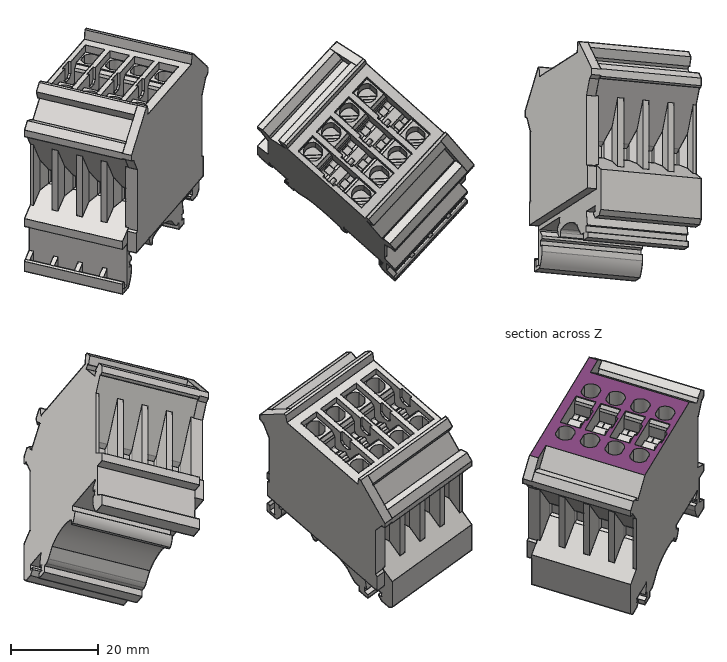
import cadquery as cq
import math


module_count = 4
body_length = 24.55
total_length = 26.8
pitch = body_length / module_count

half_depth = 21.25
waist_half_depth = 18.0
total_height = 45.9
deck_z = 43.55
deck_half_depth = 12.0
ridge_inner_y = 12.35
ridge_outer_y = 13.1
shoulder_z = 37.75
waist_top_z = 32.18
waist_bottom_z = 15.97
sill_z = 14.1
brow_y = 20.15
brow_z = 35.8
head_edge_z = 35.95
brow_lip_y = 20.6
brow_lip_z = 35.55
rail_ceiling_z = 9.0
spring_y = 18.7
spring_step_z = 12.0
foot_top_z = 4.2
foot_edge_z = 2.65
foot_crest_y = 20.8
foot_crest_z = 3.0

cover_bottom_z = 10.1
cover_brow_z = 36.15
cover_waist_top_z = 32.05
cover_waist_bottom_z = 15.7
cover_inset = 0.1

groove_mouth = 7.0
groove_throat = 5.25
groove_throat_depth = 2.0
groove_base = 6.43
groove_depth = 3.15

entry_start = 0.8
entry_width = 4.65
entry_top_z = 22.95
entry_taper = 1.3
entry_taper_run = 1.95
clamp_hole_depth = 0.9
clamp_hole_side_draft = 0.2
clamp_hole_bottom_draft = 0.15
clamp_hole_top_draft = 0.85

pocket_start = 1.3
pocket_width = 4.8
pocket_half_depth = 9.78
shelf_z = 41.7
shelf_step = 0.28
shelf_end_y = 4.55
chamfer_end_y = 3.85
chamfer_end_z = shelf_z - shelf_step - (shelf_end_y - chamfer_end_y)
shelf_wall_y = 3.6
shelf_wall_z = 40.02
valley_z = 36.7
valley_rise = 0.1
valley_outer_y = 3.25
valley_inner_y = 1.95
bridge_half_depth = 1.2
bridge_z = valley_z + valley_inner_y - bridge_half_depth
tab_offset = 1.5
tab_width = 1.85
tab_height = 0.35
bridge_gap = 0.2
bridge_gap_depth = 0.9
pin_radius = 0.5
pin_length = 1.7

notch_width = 0.55
notch_half_depth = 1.65
notch_floor_half_depth = 0.83
notch_knee_z = 40.4
notch_floor_z = notch_knee_z - (notch_half_depth - notch_floor_half_depth)

screw_y = 7.45
screw_radius = 2.2
screw_flat_width = 3.95
screw_head_z = 35.8
screw_x = pocket_start + pocket_width / 2
screw_slot_width = 0.75
screw_slot_depth = 0.45
screw_slot_angle = -45

rib_width = 1.15
trough_floor_z = 0.9
trough_outer_y = 20.3


def mirrored(points):
    """Reflect outline points across Y = 0, reversing their order."""
    return [(-y, z) for y, z in reversed(points)]


def prism(outline, x_start, length):
    """Extrude a closed YZ outline along +X."""
    return cq.Workplane("YZ", origin=(x_start, 0, 0)).polyline(outline).close().extrude(length)


def block(x_range, y_range, z_range):
    """Axis-aligned box given by its limits."""
    size = [limits[1] - limits[0] for limits in (x_range, y_range, z_range)]
    corner = (x_range[0], y_range[0], z_range[0])
    return cq.Workplane("XY", origin=corner).box(*size, centered=False)


head = [
    (deck_half_depth, deck_z),
    (ridge_inner_y, total_height),
    (ridge_outer_y, total_height),
    (half_depth, shoulder_z),
    (half_depth, head_edge_z),
    (brow_lip_y, brow_lip_z),
    (brow_y, brow_z),
    (waist_half_depth, waist_top_z),
]
waist_to_sill = [
    (waist_half_depth, waist_bottom_z),
    (half_depth, sill_z),
]


def make_body():
    """Extruded housing with the fixed hook at +Y and the spring foot at -Y."""
    profile = cq.Workplane("YZ").moveTo(*head[0])
    for point in head[1:] + waist_to_sill:
        profile = profile.lineTo(*point)

    hook = [
        (half_depth, 4.6), (20.15, 3.5), (17.63, 3.5), (16.6, 4.55), (16.6, 5.05),
        (17.63, 5.05), (17.63, 6.35), (11.95, 6.35), (12.65, 3.0), (11.8, 3.0),
        (11.8, 1.5), (12.95, 1.3), (12.95, 0), (10.05, 0), (10.05, 1.7), (8.95, 1.7),
    ]
    for point in hook:
        profile = profile.lineTo(*point)
    profile = (
        profile.threePointArc((8.4, 1.95), (7.9, 2.35))
        .lineTo(5.88, 4.55)
        .threePointArc((1.5, 6.2), (-3.9, 5.9))
        .threePointArc((-4.35, 5.7), (-4.55, 5.25))
        .lineTo(-4.7, 4.3)
        .lineTo(-5.32, 4.3)
        .threePointArc((-6.15, 5.45), (-6.45, 6.95))
        .lineTo(-5.32, 7.7)
        .lineTo(-5.32, rail_ceiling_z)
    )

    latch = [
        (-17.5, rail_ceiling_z), (-17.5, 8.65), (-16.25, 7.25), (-16.25, 6.6),
        (-17.2, 6.35), (-17.2, 5.05), (-16.25, 5.05), (-16.25, 3.6),
    ]
    for point in latch:
        profile = profile.lineTo(*point)
    profile = profile.threePointArc((-16.85, 1.7), (-17.95, 0))
    profile = (
        profile.lineTo(-half_depth, 0)
        .lineTo(-half_depth, foot_edge_z)
        .threePointArc((-21.05, 2.9), (-foot_crest_y, foot_crest_z))
        .lineTo(-spring_y, foot_top_z)
        .lineTo(-spring_y, spring_step_z)
        .lineTo(-half_depth, spring_step_z)
    )
    for point in mirrored(head + waist_to_sill):
        profile = profile.lineTo(*point)
    return profile.close().extrude(body_length)


def make_cover():
    """Plain end plate with nearly the same head; its lower edge stops above the rail."""
    sill_slope = (waist_bottom_z - sill_z) / (half_depth - waist_half_depth)
    skirt_y = spring_y - cover_inset
    skirt_z = cover_waist_bottom_z - sill_slope * (skirt_y - waist_half_depth)
    brow_run = (brow_y - waist_half_depth) / (brow_z - waist_top_z)
    brow_inner_y = waist_half_depth + brow_run * (brow_lip_z - waist_top_z)
    side = [
        (deck_half_depth, deck_z),
        (ridge_inner_y, total_height),
        (ridge_outer_y - cover_inset, total_height),
        (half_depth, shoulder_z - cover_inset),
        (half_depth, cover_brow_z),
        (brow_inner_y, brow_lip_z),
        (waist_half_depth, cover_waist_top_z),
        (waist_half_depth, cover_waist_bottom_z),
        (skirt_y, skirt_z),
        (skirt_y, cover_bottom_z),
    ]
    return prism(side + mirrored(side), body_length, total_length - body_length)


def make_marker_groove():
    """T-shaped slot normal to the +Y shoulder, running the length of the body."""
    middle_y = (ridge_outer_y + half_depth) / 2
    middle_z = (total_height + shoulder_z) / 2
    half_outline = [
        (groove_mouth / 2, 0),
        (groove_throat / 2, groove_throat_depth),
        (groove_base / 2, groove_throat_depth),
        (groove_base / 2, groove_depth),
    ]
    outline = half_outline + [(-u, depth) for u, depth in reversed(half_outline)]
    diagonal = math.sqrt(0.5)
    points = [
        (middle_y + (u - depth) * diagonal, middle_z - (u + depth) * diagonal)
        for u, depth in outline
    ]
    return prism(points, 0, body_length)


def make_wire_entry(x0):
    """Funnel in the -Y flank that narrows onto a drafted clamp hole."""
    roof_slope = (brow_z - waist_top_z) / (brow_y - waist_half_depth)
    floor_slope = (waist_bottom_z - sill_z) / (half_depth - waist_half_depth)
    back_y = waist_half_depth - (waist_top_z - entry_top_z) / roof_slope
    floor_back_z = waist_bottom_z + floor_slope * (waist_half_depth - back_y)
    left = x0 + entry_start
    right = left + entry_width
    side = prism(
        [
            (-waist_half_depth, waist_top_z),
            (-back_y, entry_top_z),
            (-back_y, floor_back_z),
            (-waist_half_depth, waist_bottom_z),
        ],
        left, entry_width,
    )
    plan_outline = [
        (left, -waist_half_depth),
        (right, -waist_half_depth),
        (right, -back_y),
        (left + entry_taper, -back_y),
        (left, -back_y - entry_taper_run),
    ]
    plan = cq.Workplane("XY").polyline(plan_outline).close().extrude(total_height)

    hole_left = left + entry_taper
    inner_left = hole_left + clamp_hole_side_draft
    inner_right = right - clamp_hole_side_draft
    inner_bottom = floor_back_z + clamp_hole_bottom_draft
    inner_top = entry_top_z - clamp_hole_top_draft
    hole = (
        cq.Workplane("XZ", origin=(0, -back_y, 0))
        .polyline([
            (hole_left, floor_back_z), (right, floor_back_z),
            (right, entry_top_z), (hole_left, entry_top_z),
        ]).close()
        .workplane(offset=-clamp_hole_depth)
        .polyline([
            (inner_left, inner_bottom), (inner_right, inner_bottom),
            (inner_right, inner_top), (inner_left, inner_top),
        ]).close()
        .loft(ruled=True)
    )
    return side.intersect(plan).union(hole)


def make_screw_bore(x0, y):
    """Side-flattened bore down to a slotted screw head."""
    center = (x0 + screw_x, y, screw_head_z - screw_slot_depth)
    bore = cq.Workplane("XY", origin=center).circle(screw_radius).extrude(deck_z - center[2])
    flats = cq.Workplane("XY", origin=center).box(
        screw_flat_width, 2 * screw_radius, 2 * deck_z)
    slot = (
        cq.Workplane("XY", origin=center)
        .rect(2 * screw_radius, screw_slot_width)
        .extrude(screw_slot_depth)
        .rotate(center, (center[0], center[1], deck_z), screw_slot_angle)
    )
    above_head = block(
        (center[0] - screw_radius, center[0] + screw_radius),
        (y - screw_radius, y + screw_radius),
        (screw_head_z, deck_z),
    )
    return bore.intersect(flats).intersect(above_head.union(slot))


def make_pocket(x0):
    """Screw pocket in the deck with its wall notch, bridge, tabs and pin."""
    left = x0 + pocket_start
    half_floor = [
        (pocket_half_depth, deck_z),
        (pocket_half_depth, shelf_z),
        (shelf_end_y, shelf_z),
        (shelf_end_y, shelf_z - shelf_step),
        (chamfer_end_y, chamfer_end_z),
        (shelf_wall_y, shelf_wall_z),
        (shelf_wall_y, valley_z + valley_rise),
        (valley_outer_y, valley_z),
        (valley_inner_y, valley_z),
        (bridge_half_depth, bridge_z),
    ]
    pocket = prism(half_floor + mirrored(half_floor), left, pocket_width)
    gap = block(
        (left, left + bridge_gap),
        (-valley_outer_y, valley_outer_y),
        (valley_z - bridge_gap_depth, bridge_z),
    )
    tabs = block(
        (left + tab_offset, left + tab_offset + tab_width),
        (-valley_outer_y, valley_outer_y),
        (valley_z, valley_z + tab_height),
    )
    pin = cq.Workplane("YZ", origin=(left, 0, bridge_z)).circle(pin_radius).extrude(pin_length)

    half_notch = [
        (notch_half_depth, deck_z),
        (notch_half_depth, notch_knee_z),
        (notch_floor_half_depth, notch_floor_z),
    ]
    notch = prism(half_notch + mirrored(half_notch), left - notch_width, notch_width)
    pocket = pocket.union(gap).cut(tabs).cut(pin).union(notch)
    for y in (screw_y, -screw_y):
        pocket = pocket.union(make_screw_bore(x0, y))
    return pocket


def make_foot_trough(x0):
    """Hollow behind the foot lip, reaching from one rib to the next module."""
    return (
        cq.Workplane("YZ", origin=(x0 + rib_width, 0, 0))
        .moveTo(-spring_y, trough_floor_z)
        .lineTo(-trough_outer_y, trough_floor_z)
        .lineTo(-trough_outer_y, foot_edge_z)
        .threePointArc((-20.45, 2.9), (-foot_crest_y, foot_crest_z))
        .lineTo(-foot_crest_y, foot_top_z)
        .lineTo(-spring_y, foot_top_z)
        .close()
        .extrude(pitch - rib_width)
    )


result = make_body()

groove = make_marker_groove()
result = result.cut(groove).cut(groove.mirror("XZ"))
result = result.union(make_cover())

for module in range(module_count):
    module_x = module * pitch
    entry = make_wire_entry(module_x)
    result = result.cut(entry).cut(entry.mirror("XZ"))
    result = result.cut(make_pocket(module_x))
    result = result.cut(make_foot_trough(module_x))